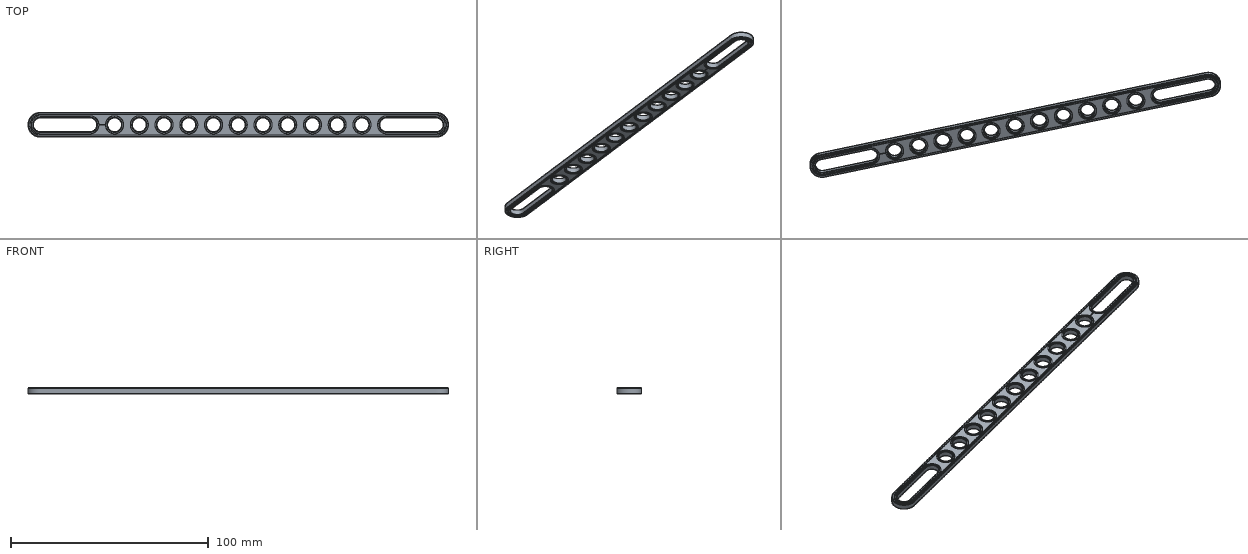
import cadquery as cq

length = 212.5
pitches_along_length = 17
pitch = length / pitches_along_length
width = pitch
thickness = 3.2

hole_count = 11
hole_diameter = 7.0
slot_travel = 2 * pitch
slot_center = (hole_count + 1) / 2 * pitch + slot_travel / 2
hole_points = [((i - (hole_count - 1) / 2) * pitch, 0) for i in range(hole_count)]
slot_points = [(-slot_center, 0), (slot_center, 0)]

opening_rim_diameter = 9.1
border_width = 1.0
recess_depth = 0.32
edge_chamfer = 0.32

rib_width = 0.2
rib_height = recess_depth / 2
rib_center_x = -(hole_count / 2) * pitch

floor_height = thickness / 2 - recess_depth


def make_openings(diameter, height):
    """Solids in the shape of all holes and slots, centred on the middle plane."""
    middle = cq.Workplane("XY")
    holes = middle.pushPoints(hole_points).circle(diameter / 2).extrude(height / 2, both=True)
    slots = middle.pushPoints(slot_points).slot2D(slot_travel + diameter, diameter)
    return holes.union(slots.extrude(height / 2, both=True))


def make_strip():
    """Strip with full-round ends and through openings, chamfered along every face edge."""
    strip = cq.Workplane("XY").slot2D(length, width).extrude(thickness / 2, both=True)
    strip = strip.cut(make_openings(hole_diameter, thickness))
    return strip.faces("|Z").edges().chamfer(edge_chamfer)


def make_recesses():
    """Material removed from both faces, inside the border and around the opening rims."""
    inner_length = length - 2 * border_width
    inner_width = width - 2 * border_width
    recesses = cq.Workplane("XY").slot2D(inner_length, inner_width).extrude(thickness / 2, both=True)
    core = cq.Workplane("XY").box(length, width, 2 * floor_height)
    rib = cq.Workplane("XY").box(pitch, rib_width, 2 * (floor_height + rib_height))
    rib = rib.translate((rib_center_x, 0, 0))
    rims = make_openings(opening_rim_diameter, thickness)
    return recesses.cut(core).cut(rims).cut(rib)


result = make_strip().cut(make_recesses())